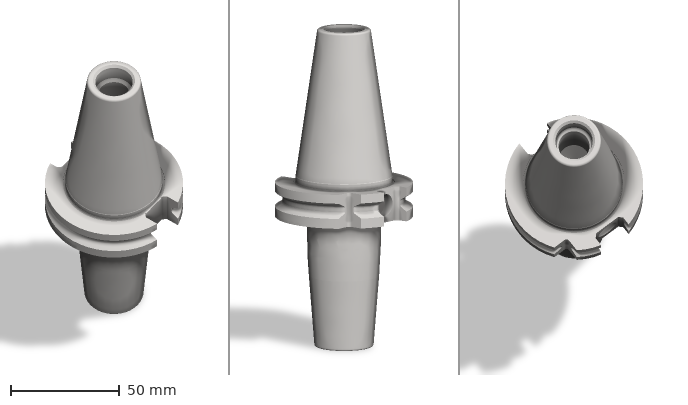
import cadquery as cq
import math

TAPER_TOP = 68.4
TOTAL_HEIGHT = 148.4
NOSE_END = TAPER_TOP - TOTAL_HEIGHT

GAUGE_RADIUS = 22.3
TAPER_RATIO = 7 / 24
TOP_RADIUS = GAUGE_RADIUS - TAPER_RATIO / 2 * TAPER_TOP
TOP_FILLET = 1.0

COLLAR_EDGE = 0.3
COLLAR_BAND = 1.5
COLLAR_RADIUS = 22.4
COLLAR_NECK_RADIUS = 22.3
RELIEF_RADIUS = 23.5
RELIEF_DEPTH = 0.6
RELIEF_FILLET = 0.9

FLANGE_RADIUS = 31.8
FLANGE_TOP = -3.3
FLANGE_HEIGHT = 15.9
FLANGE_BOTTOM = FLANGE_TOP - FLANGE_HEIGHT
FLANGE_MIDDLE = FLANGE_TOP - FLANGE_HEIGHT / 2
GROOVE_MIDDLE = -11.0
GROOVE_MOUTH = 7.1
GROOVE_ROOT_FILLET = 0.9
GROOVE_DEPTH = 3.5
GROOVE_FLANK_ANGLE = 30
GROOVE_FLOOR_RADIUS = FLANGE_RADIUS - GROOVE_DEPTH
GROOVE_FLOOR = GROOVE_MOUTH - 2 * GROOVE_DEPTH * math.tan(math.radians(GROOVE_FLANK_ANGLE))

NOSE_RADIUS = 17.0
NOSE_FILLET = 1.8
NOSE_CYLINDER_END = FLANGE_BOTTOM - 5.2
NOSE_CONE_START = FLANGE_BOTTOM - 27.8
NOSE_CONE_ANGLE = math.radians(4.5)
NOSE_EDGE_FILLET = 0.9

SLOT_WIDTH = 16.0
LEFT_SLOT_FLOOR = 25.0
RIGHT_SLOT_FLOOR = 22.7
SLOT_CHAMFER = 1.6
NOTCH_X = 18.5
NOTCH_Y = 18.4
NOTCH_FILLET = 1.5

POCKET_RADIUS = 5.0
POCKET_DEPTH = 4.6
DIMPLE_RADIUS = 0.5
DIMPLE_DEPTH = 0.5

BORE_RADIUS = 8.6
BORE_DEPTH = 8.2
STEP_DROP = 1.2
BORE_CHAMFER = 1.0
DRILL_RADIUS = 7.1
DRILL_DEPTH = 32.0
DRILL_TIP_ANGLE = 118


def make_body():
    """Revolve the outer profile: taper, collar, grooved flange and nose."""
    arc_radius = (NOSE_CYLINDER_END - NOSE_CONE_START) / math.sin(NOSE_CONE_ANGLE)
    half_angle = NOSE_CONE_ANGLE / 2
    arc_middle = (
        NOSE_RADIUS - arc_radius * (1 - math.cos(half_angle)),
        NOSE_CYLINDER_END - arc_radius * math.sin(half_angle),
    )
    cone_start_radius = NOSE_RADIUS - arc_radius * (1 - math.cos(NOSE_CONE_ANGLE))
    end_radius = cone_start_radius - (NOSE_CONE_START - NOSE_END) * math.tan(NOSE_CONE_ANGLE)
    diagonal = math.sqrt(0.5)
    profile = (
        cq.Workplane("XZ")
        .moveTo(0, TAPER_TOP)
        .lineTo(TOP_RADIUS, TAPER_TOP)
        .lineTo(GAUGE_RADIUS, 0)
        .lineTo(COLLAR_RADIUS, -COLLAR_EDGE)
        .lineTo(COLLAR_RADIUS, -COLLAR_BAND)
        .lineTo(COLLAR_NECK_RADIUS, -COLLAR_BAND)
        .lineTo(COLLAR_NECK_RADIUS, FLANGE_TOP - RELIEF_DEPTH + RELIEF_FILLET)
        .threePointArc(
            (
                COLLAR_NECK_RADIUS + RELIEF_FILLET * (1 - diagonal),
                FLANGE_TOP - RELIEF_DEPTH + RELIEF_FILLET * (1 - diagonal),
            ),
            (COLLAR_NECK_RADIUS + RELIEF_FILLET, FLANGE_TOP - RELIEF_DEPTH),
        )
        .lineTo(RELIEF_RADIUS, FLANGE_TOP - RELIEF_DEPTH)
        .lineTo(RELIEF_RADIUS, FLANGE_TOP)
        .lineTo(FLANGE_RADIUS, FLANGE_TOP)
        .lineTo(FLANGE_RADIUS, GROOVE_MIDDLE + GROOVE_MOUTH / 2)
        .lineTo(GROOVE_FLOOR_RADIUS, GROOVE_MIDDLE + GROOVE_FLOOR / 2)
        .lineTo(GROOVE_FLOOR_RADIUS, GROOVE_MIDDLE - GROOVE_FLOOR / 2)
        .lineTo(FLANGE_RADIUS, GROOVE_MIDDLE - GROOVE_MOUTH / 2)
        .lineTo(FLANGE_RADIUS, FLANGE_BOTTOM)
        .lineTo(NOSE_RADIUS + NOSE_FILLET, FLANGE_BOTTOM)
        .threePointArc(
            (
                NOSE_RADIUS + NOSE_FILLET * (1 - diagonal),
                FLANGE_BOTTOM - NOSE_FILLET * (1 - diagonal),
            ),
            (NOSE_RADIUS, FLANGE_BOTTOM - NOSE_FILLET),
        )
        .lineTo(NOSE_RADIUS, NOSE_CYLINDER_END)
        .threePointArc(arc_middle, (cone_start_radius, NOSE_CONE_START))
        .lineTo(end_radius, NOSE_END)
        .lineTo(0, NOSE_END)
        .close()
    )
    body = profile.revolve(360, (0, 0), (0, 1))
    body = body.faces(">Z").edges().fillet(TOP_FILLET)
    body = body.faces("<Z").edges().fillet(NOSE_EDGE_FILLET)
    reach = GROOVE_FLOOR_RADIUS + GROOVE_ROOT_FILLET
    half_floor = GROOVE_FLOOR / 2 + GROOVE_ROOT_FILLET
    root_zone = cq.selectors.BoxSelector(
        (-reach, -reach, GROOVE_MIDDLE - half_floor),
        (reach, reach, GROOVE_MIDDLE + half_floor),
        boundingbox=True,
    )
    return body.edges(root_zone).edges("%CIRCLE").fillet(GROOVE_ROOT_FILLET)


def make_slot(floor, side):
    """Drive slot through the flange; side is -1 for -X and +1 for +X."""
    slot = cq.Workplane("XY").box(FLANGE_RADIUS, SLOT_WIDTH, FLANGE_HEIGHT)
    inner_edges = "|Z and >X" if side < 0 else "|Z and <X"
    slot = slot.edges(inner_edges).chamfer(SLOT_CHAMFER)
    return slot.translate((side * (floor + FLANGE_RADIUS / 2), 0, FLANGE_MIDDLE))


def make_notch():
    """Rounded corner notch through the flange in the -X, +Y quadrant."""
    notch = cq.Workplane("XY").box(FLANGE_RADIUS, FLANGE_RADIUS, FLANGE_HEIGHT)
    notch = notch.edges("|Z and >X and <Y").fillet(NOTCH_FILLET)
    half = FLANGE_RADIUS / 2
    return notch.translate((-NOTCH_X - half, NOTCH_Y + half, FLANGE_MIDDLE))


def make_pocket():
    """Flat-bottomed round pocket with a centre dimple, sunk along +X into the -X slot floor."""
    plane = cq.Plane((-LEFT_SLOT_FLOOR, 0, GROOVE_MIDDLE), (0, 1, 0), (1, 0, 0))
    pocket = cq.Workplane(plane).circle(POCKET_RADIUS).extrude(POCKET_DEPTH)
    dimple = cq.Workplane(plane).circle(DIMPLE_RADIUS).extrude(POCKET_DEPTH + DIMPLE_DEPTH)
    return pocket.union(dimple)


def make_bore():
    """Chamfered counterbore with a sloping step, followed by a drilled hole with a conical tip."""
    step = TAPER_TOP - BORE_DEPTH
    drill_end = TAPER_TOP - DRILL_DEPTH
    tip = DRILL_RADIUS / math.tan(math.radians(DRILL_TIP_ANGLE / 2))
    return (
        cq.Workplane("XZ")
        .moveTo(0, TAPER_TOP)
        .lineTo(BORE_RADIUS + BORE_CHAMFER, TAPER_TOP)
        .lineTo(BORE_RADIUS, TAPER_TOP - BORE_CHAMFER)
        .lineTo(BORE_RADIUS, step)
        .lineTo(DRILL_RADIUS, step - STEP_DROP)
        .lineTo(DRILL_RADIUS, drill_end)
        .lineTo(0, drill_end - tip)
        .close()
        .revolve(360, (0, 0), (0, 1))
    )


result = (
    make_body()
    .cut(make_slot(LEFT_SLOT_FLOOR, -1))
    .cut(make_slot(RIGHT_SLOT_FLOOR, 1))
    .cut(make_notch())
    .cut(make_pocket())
    .cut(make_bore())
)